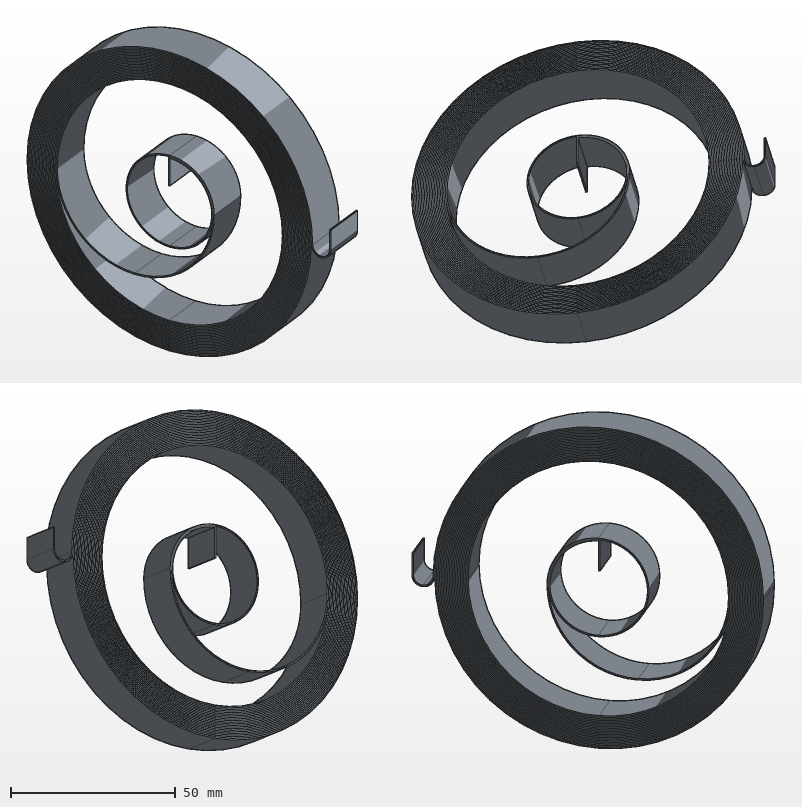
import cadquery as cq

strip_width = 15.0
strip_thickness = 0.49

winding_outer_radius = 51.5
winding_turns = 22
turn_gap = 0.005

hook_radius = 3.3
hook_leg_length = 6.9

coil_radius = 15.8
lap_overlap = 0.01

tongue_tip_height = 5.5

winding_pitch = strip_thickness + turn_gap
winding_radius = winding_outer_radius - strip_thickness / 2
winding_inner_radius = winding_radius - (winding_turns - 1) * winding_pitch
hook_tip_x = winding_radius + 2 * hook_radius
lap_radius = coil_radius - strip_thickness + lap_overlap


def over_the_top(path, start_x, end_x):
    """Add an upper half circle between two points at height zero."""
    return path.threePointArc(((start_x + end_x) / 2, abs(end_x - start_x) / 2), (end_x, 0))


def under_the_bottom(path, start_x, end_x):
    """Add a lower half circle between two points at height zero, as two quarter circles."""
    lowest_point = ((start_x + end_x) / 2, -abs(end_x - start_x) / 2)
    path = path.tangentArcPoint(lowest_point, relative=False)
    return path.tangentArcPoint((end_x, 0), relative=False)


def sweep_strip(path, start_z):
    """Sweep the strip section along a path that leaves (0, start_z) in the X direction."""
    section = cq.Plane(origin=(0, 0, start_z), xDir=(0, 1, 0), normal=(1, 0, 0))
    return cq.Workplane(section).rect(strip_width, strip_thickness).sweep(path, clean=False)


def make_spring():
    """Strip from the bottom of the inner coil, out through the winding, to the hook tip."""
    left_radius = (coil_radius + lap_radius) / 2
    path = (
        cq.Workplane("XZ")
        .moveTo(0, -lap_radius)
        .threePointArc((-left_radius, coil_radius - left_radius), (0, coil_radius))
        .tangentArcPoint((coil_radius, 0), relative=False)
    )
    previous_x = coil_radius
    for turn in range(winding_turns):
        turn_radius = winding_inner_radius + turn * winding_pitch
        path = under_the_bottom(path, previous_x, -turn_radius)
        path = over_the_top(path, -turn_radius, turn_radius)
        previous_x = turn_radius
    path = under_the_bottom(path, winding_radius, hook_tip_x)
    path = path.lineTo(hook_tip_x, hook_leg_length)
    return sweep_strip(path, -lap_radius)


def make_lap():
    """Right half of the inner turn, from below the top of the coil round to its bottom."""
    path = cq.Workplane("XZ").moveTo(0, lap_radius).threePointArc((lap_radius, 0), (0, -lap_radius))
    return sweep_strip(path, lap_radius)


def make_tongue():
    """Flat end bent down from the start of the lap, with its right face on the coil axis."""
    length = coil_radius - tongue_tip_height
    return cq.Workplane("XY").box(strip_thickness, strip_width, length).translate(
        (-strip_thickness / 2, 0, tongue_tip_height + length / 2)
    )


result = make_spring().union(make_lap(), clean=False).union(make_tongue(), clean=False)